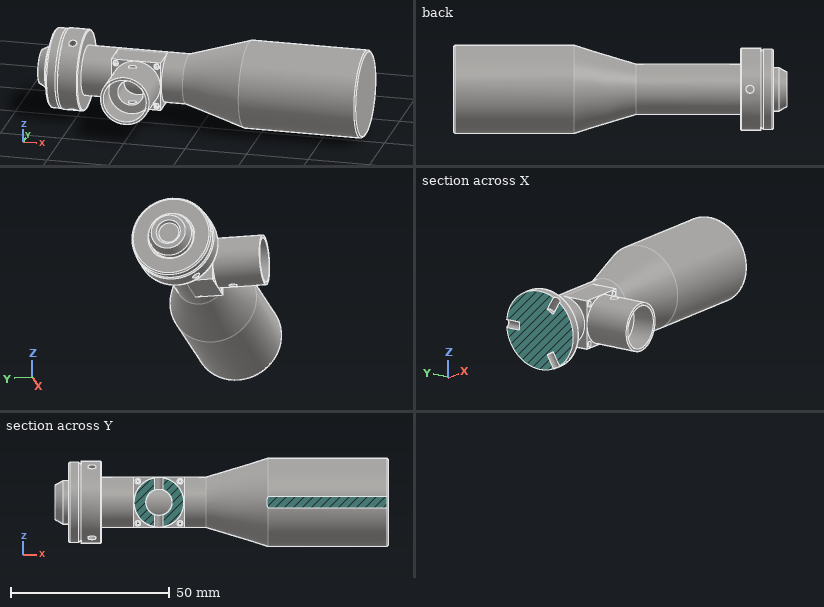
import cadquery as cq

TOTAL_LENGTH = 105.39
NOSE_TAPER_END = 2.6
FLANGE_START = 4.2
GROOVE_START = 7.4
GROOVE_END = 8.25
RING_END = 14.7
CONE_START = 47.7
CONE_END = 67.3

NOSE_TIP_RADIUS = 5.5
NOSE_RADIUS = 6.95
FLANGE_RADIUS = 12.75
GROOVE_RADIUS = 12.05
RING_RADIUS = 13.0
TUBE_RADIUS = 8.0
BARREL_RADIUS = 14.0
FLANGE_CHAMFER = 0.5
RING_CHAMFER = 0.3
BARREL_CHAMFER = 0.5

APERTURE_RADIUS = 3.9
APERTURE_FLOOR_RADIUS = 3.2
APERTURE_DEPTH = 1.0
NOSE_GAP_RADIUS = 7.5
NOSE_GAP_DEPTH = 1.0

SET_SCREW_DIAMETER = 2.5
SET_SCREW_X = 11.7
SET_SCREW_COUNT = 3

BRANCH_X = 32.85
BLOCK_WIDTH = 2 * TUBE_RADIUS
BLOCK_FACE_Y = -8.9
BRANCH_END_Y = -24.0
BRANCH_RADIUS = 7.9
SOCKET_RADIUS = 7.0
SOCKET_FLOOR_Y = -16.5
WINDOW_RADIUS = 4.1
CROSS_HOLE_Y = -13.9
CROSS_HOLE_DIAMETER = 2.5

CORNER_HOLE_OFFSET = 6.65
CORNER_HOLE_DIAMETER = 1.0
CORNER_COUNTERBORE_DIAMETER = 1.8
CORNER_COUNTERBORE_DEPTH = 1.0


def along_minus_y(x, z, y_start, radius, length):
    """Cylinder that starts at y_start and runs toward -Y."""
    return cq.Workplane("XZ", origin=(x, y_start, z)).circle(radius).extrude(length)


def turned_body():
    """Nose, flange, groove, ring, tube, cone and barrel as one turned profile."""
    flange_face_radius = FLANGE_RADIUS - FLANGE_CHAMFER
    profile = [
        (0, APERTURE_RADIUS),
        (0, NOSE_TIP_RADIUS),
        (NOSE_TAPER_END, NOSE_RADIUS),
        (FLANGE_START + NOSE_GAP_DEPTH, NOSE_RADIUS),
        (FLANGE_START + NOSE_GAP_DEPTH, NOSE_GAP_RADIUS),
        (FLANGE_START, NOSE_GAP_RADIUS),
        (FLANGE_START, flange_face_radius),
        (FLANGE_START + FLANGE_CHAMFER, FLANGE_RADIUS),
        (GROOVE_START, FLANGE_RADIUS),
        (GROOVE_END, GROOVE_RADIUS),
        (GROOVE_END, RING_RADIUS),
        (RING_END - RING_CHAMFER, RING_RADIUS),
        (RING_END, RING_RADIUS - RING_CHAMFER),
        (RING_END, TUBE_RADIUS),
        (CONE_START, TUBE_RADIUS),
        (CONE_END, BARREL_RADIUS),
        (TOTAL_LENGTH - BARREL_CHAMFER, BARREL_RADIUS),
        (TOTAL_LENGTH, BARREL_RADIUS - BARREL_CHAMFER),
        (TOTAL_LENGTH, 0),
        (APERTURE_DEPTH, 0),
        (APERTURE_DEPTH, APERTURE_FLOOR_RADIUS),
    ]
    return cq.Workplane("XY").polyline(profile).close().revolve(360, (0, 0, 0), (1, 0, 0))


def set_screw_holes():
    """Radial holes through the ring down to the tube, one of them on the +Y side."""
    hole = (
        cq.Workplane("XZ", origin=(SET_SCREW_X, RING_RADIUS, 0))
        .circle(SET_SCREW_DIAMETER / 2)
        .extrude(RING_RADIUS - TUBE_RADIUS)
    )
    holes = cq.Workplane("XY")
    for index in range(SET_SCREW_COUNT):
        holes = holes.add(hole.rotate((0, 0, 0), (1, 0, 0), index * 360 / SET_SCREW_COUNT))
    return holes.combine()


def branch():
    """Block and sleeve with a blind socket, a window from its floor to the tube, and a cross hole."""
    block = cq.Workplane("XY").box(BLOCK_WIDTH, -BLOCK_FACE_Y, BLOCK_WIDTH).translate(
        (BRANCH_X, BLOCK_FACE_Y / 2, 0)
    )
    sleeve_length = BLOCK_FACE_Y - BRANCH_END_Y
    sleeve = along_minus_y(BRANCH_X, 0, BLOCK_FACE_Y, BRANCH_RADIUS, sleeve_length)
    socket = along_minus_y(BRANCH_X, 0, SOCKET_FLOOR_Y, SOCKET_RADIUS, SOCKET_FLOOR_Y - BRANCH_END_Y)
    window = along_minus_y(BRANCH_X, 0, 0, WINDOW_RADIUS, -SOCKET_FLOOR_Y)
    cross_hole = (
        cq.Workplane("XY", origin=(BRANCH_X, CROSS_HOLE_Y, 0))
        .circle(CROSS_HOLE_DIAMETER / 2)
        .extrude(BRANCH_RADIUS, both=True)
    )
    return block.union(sleeve).cut(socket).cut(window).cut(cross_hole)


def corner_holes():
    """Counterbored holes through the block to the surface of the tube."""
    holes = cq.Workplane("XY")
    for side_x in (-1, 1):
        for side_z in (-1, 1):
            x = BRANCH_X + side_x * CORNER_HOLE_OFFSET
            z = side_z * CORNER_HOLE_OFFSET
            seat_y = BLOCK_FACE_Y + CORNER_COUNTERBORE_DEPTH
            bore = along_minus_y(x, z, 0, CORNER_HOLE_DIAMETER / 2, -BLOCK_FACE_Y)
            seat = along_minus_y(x, z, seat_y, CORNER_COUNTERBORE_DIAMETER / 2, CORNER_COUNTERBORE_DEPTH)
            holes = holes.add(bore.union(seat))
    return holes.combine()


result = branch().cut(corner_holes()).union(turned_body().cut(set_screw_holes()))